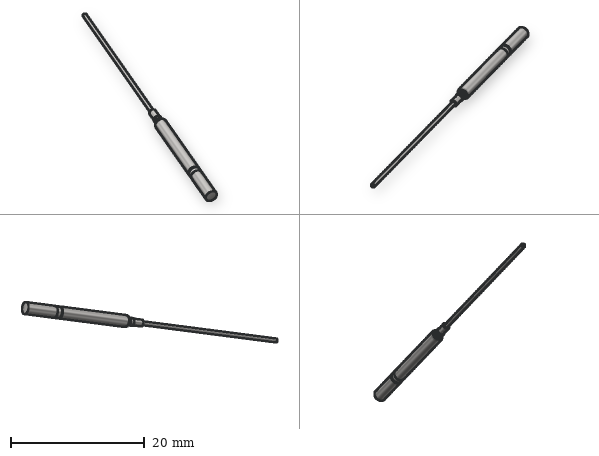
import cadquery as cq

total_length = 44.83

rod_diameter = 0.63
sleeve_diameter = 1.07
collar_diameter = 1.22
body_diameter = 1.85
body_neck_diameter = 1.68

sleeve_start = 24.1
collar_start = 25.75
body_start = 26.77

tip_chamfer = 0.15
collar_taper_length = 0.25
collar_taper_depth = 0.02
body_edge_length = 0.28

cone_diameter = 1.4

collar_groove_start = 26.35
collar_groove_width = 0.15
collar_groove_diameter = sleeve_diameter

bead_start = 38.8
bead_width = 0.75
bead_groove_slope = 0.1

rod_radius = rod_diameter / 2
sleeve_radius = sleeve_diameter / 2
collar_radius = collar_diameter / 2
collar_front_radius = collar_radius - collar_taper_depth
collar_groove_radius = collar_groove_diameter / 2
cone_radius = cone_diameter / 2
body_radius = body_diameter / 2
body_neck_radius = body_neck_diameter / 2


def turn(profile):
    """Close a half profile along the X axis and revolve it into a solid."""
    return profile.close().revolve(360, (0, 0, 0), (1, 0, 0))


def make_rod():
    """Thin rod with a chamfered tip."""
    profile = (
        cq.Workplane("XY")
        .lineTo(0, rod_radius - tip_chamfer)
        .lineTo(tip_chamfer, rod_radius)
        .lineTo(sleeve_start, rod_radius)
        .lineTo(sleeve_start, 0)
    )
    return turn(profile)


def make_collar():
    """Sleeve, then a collar with a tapered front, a narrow groove and a rear cone."""
    groove_end = collar_groove_start + collar_groove_width
    profile = (
        cq.Workplane("XY")
        .moveTo(sleeve_start, 0)
        .lineTo(sleeve_start, sleeve_radius)
        .lineTo(collar_start, sleeve_radius)
        .lineTo(collar_start, collar_front_radius)
        .lineTo(collar_start + collar_taper_length, collar_radius)
        .lineTo(collar_groove_start, collar_radius)
        .lineTo(collar_groove_start, collar_groove_radius)
        .lineTo(groove_end, collar_groove_radius)
        .lineTo(groove_end, collar_radius)
        .lineTo(body_start, cone_radius)
        .lineTo(body_start, 0)
    )
    return turn(profile)


def make_body():
    """Main barrel with a tapered front edge and a bead near its far end."""
    bead_end = bead_start + bead_width
    bead_middle = bead_start + bead_width / 2
    profile = (
        cq.Workplane("XY")
        .moveTo(body_start, 0)
        .lineTo(body_start, body_neck_radius)
        .lineTo(body_start + body_edge_length, body_radius)
        .lineTo(bead_start - bead_groove_slope, body_radius)
        .lineTo(bead_start, body_neck_radius)
        .threePointArc((bead_middle, body_radius), (bead_end, body_neck_radius))
        .lineTo(bead_end + bead_groove_slope, body_radius)
        .lineTo(total_length, body_radius)
        .lineTo(total_length, 0)
    )
    return turn(profile)


result = make_rod().union(make_collar()).union(make_body())